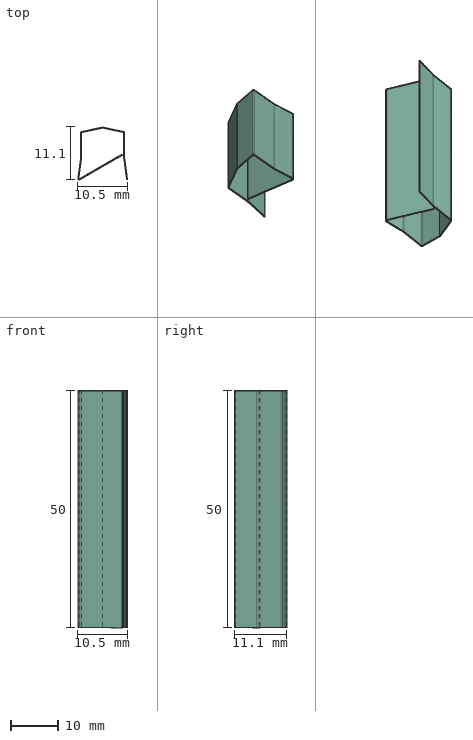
import cadquery as cq
import math

length = 50.0
thickness = 0.2
inner_bend_radius = 0.1
outer_bend_radius = inner_bend_radius + thickness

peak_y = -0.125
shoulder_y = -1.1
waist_y = -6.45
leg_end_y = -11.05
fold_y = -11.2
wall_x = 4.525
leg_end_x = 5.15
flap_angle = 30.0
flap_length = 10.7

tab_drop = 0.1
tab_length = 2.7

leg_slope = (leg_end_x - wall_x) / (waist_y - leg_end_y)
fold = (-wall_x - leg_slope * (waist_y - fold_y), fold_y)
flap_direction = (math.cos(math.radians(flap_angle)), math.sin(math.radians(flap_angle)))
flap_tip = (fold[0] + flap_length * flap_direction[0], fold[1] + flap_length * flap_direction[1])
left_shoulder = (-wall_x, shoulder_y)
right_shoulder = (wall_x, shoulder_y)
centreline = [
    flap_tip,
    fold,
    (-wall_x, waist_y),
    left_shoulder,
    (0, peak_y),
    right_shoulder,
    (wall_x, waist_y),
    (leg_end_x, leg_end_y),
]
bends = [fold, left_shoulder, right_shoulder]


def left_normal(start, end):
    """Unit vector pointing left of the direction from start to end."""
    dx = end[0] - start[0]
    dy = end[1] - start[1]
    span = math.hypot(dx, dy)
    return (-dy / span, dx / span)


def offset_path(path, distance):
    """Shift an open path to its left, with mitred corners and square ends."""
    normals = [left_normal(a, b) for a, b in zip(path, path[1:])]
    before = normals[:1] + normals
    after = normals + normals[-1:]
    shifted = []
    for point, n1, n2 in zip(path, before, after):
        scale = distance / (1 + n1[0] * n2[0] + n1[1] * n2[1])
        shifted.append((point[0] + scale * (n1[0] + n2[0]), point[1] + scale * (n1[1] + n2[1])))
    return shifted


def round_bend(body, corner, radius):
    """Round the upright edge that passes through a corner of the profile."""
    edge = cq.selectors.NearestToPointSelector((corner[0], corner[1], length / 2))
    return body.edges("|Z").edges(edge).fillet(radius)


def make_sheet():
    left_side = offset_path(centreline, thickness / 2)
    right_side = offset_path(centreline, -thickness / 2)
    base = cq.Workplane("XY").workplane(offset=tab_drop)
    body = base.polyline(left_side + right_side[::-1]).close().extrude(length - tab_drop)
    for bend in bends:
        index = centreline.index(bend)
        body = round_bend(body, left_side[index], outer_bend_radius)
        body = round_bend(body, right_side[index], inner_bend_radius)
    return body


def make_tab():
    """Bottom strip of the flap, along its last stretch up to the free end."""
    centre_x = flap_tip[0] - flap_direction[0] * tab_length / 2
    centre_y = flap_tip[1] - flap_direction[1] * tab_length / 2
    return (
        cq.Workplane("XY")
        .center(centre_x, centre_y)
        .transformed(rotate=(0, 0, flap_angle))
        .rect(tab_length, thickness)
        .extrude(tab_drop)
    )


result = make_sheet().union(make_tab())